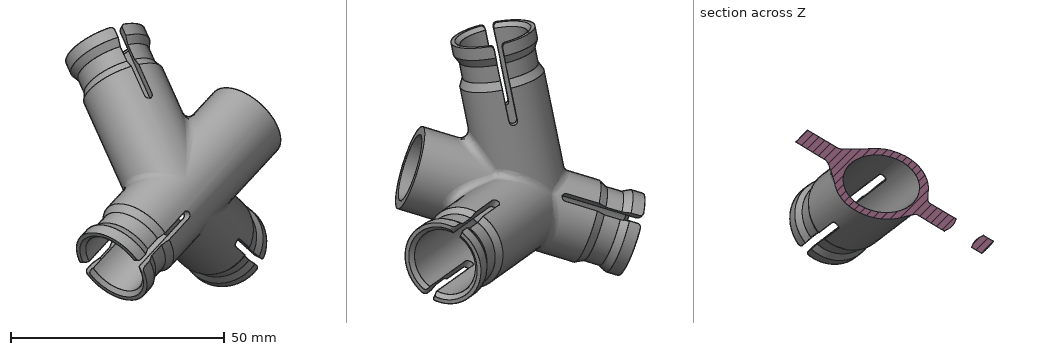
import cadquery as cq
import math

OUTER_RADIUS = 10.1
BORE_RADIUS = 8.1

FRONT_LENGTH = 25.73
BACK_LENGTH = 29.27
BRANCH_LENGTH = 42.13

GROOVE_DEPTH = 1.0
LIP_LENGTH = 3.0
GROOVE_TAPER = 2.0
GROOVE_FLAT = 4.0

MOUTH_BEVEL = 1.0

SLOT_WIDTH = 2.0
SLOT_LENGTH = 20.0
SLOT_MOUTH_RADIUS = 1.0

JUNCTION_FILLET = 1.9

BRANCH_ANGLE = math.radians(60)
ARM_RISE = math.radians(19.57)

ORIGIN = cq.Vector(0, 0, 0)
MAIN_AXIS = cq.Vector(0, 1, 0)
FRONT_AXIS = cq.Vector(0, -1, 0)
LEG_RADIAL = cq.Vector(0, 0, -1)
ARM_RADIAL = cq.Vector(-math.cos(ARM_RISE), 0, math.sin(ARM_RISE))


def branch_axis(radial):
    """Direction of a branch that leaves the main axis on the side of `radial`."""
    return MAIN_AXIS * math.cos(BRANCH_ANGLE) + radial * math.sin(BRANCH_ANGLE)


def spigot_plane(axis, slot_direction):
    """Plane at the axis crossing, with its normal along the spigot and its x through the slot."""
    return cq.Plane(origin=ORIGIN, xDir=slot_direction, normal=axis)


def tube(plane, length, radius):
    """Solid cylinder that starts on the plane and follows its normal."""
    return cq.Workplane(plane).circle(radius).extrude(length)


def snap_groove(plane, length):
    """Ring with tapered flanks to be cut from the outside of a spigot."""
    outer_start = length - LIP_LENGTH
    flat_start = outer_start - GROOVE_TAPER
    flat_end = flat_start - GROOVE_FLAT
    outer_end = flat_end - GROOVE_TAPER
    floor_radius = OUTER_RADIUS - GROOVE_DEPTH
    clear_radius = OUTER_RADIUS + GROOVE_DEPTH
    section = [
        (OUTER_RADIUS, outer_start),
        (floor_radius, flat_start),
        (floor_radius, flat_end),
        (OUTER_RADIUS, outer_end),
        (clear_radius, outer_end),
        (clear_radius, outer_start),
    ]
    side = cq.Plane(origin=ORIGIN, xDir=plane.xDir, normal=plane.xDir.cross(plane.zDir))
    return cq.Workplane(side).polyline(section).close().revolve(360, (0, 0), (0, 1))


def mouth_bevel(plane, length):
    """Cone that opens the bore at the end face."""
    start = plane.zDir * (length - MOUTH_BEVEL)
    return cq.Workplane(
        cq.Solid.makeCone(BORE_RADIUS, BORE_RADIUS + MOUTH_BEVEL, MOUTH_BEVEL, start, plane.zDir)
    )


def flex_slot(plane, length):
    """Slot across the spigot with a round inner end and rounded mouth corners."""
    half = SLOT_WIDTH / 2
    flare = half + SLOT_MOUTH_RADIUS
    mouth_start = length - SLOT_MOUTH_RADIUS
    arc_offset = SLOT_MOUTH_RADIUS * (1 - math.sqrt(0.5))
    inner_center = length - SLOT_LENGTH + half
    side = cq.Plane(origin=ORIGIN, xDir=plane.xDir.cross(plane.zDir), normal=plane.xDir * -1)
    return (
        cq.Workplane(side)
        .moveTo(-half, inner_center)
        .threePointArc((0, inner_center - half), (half, inner_center))
        .lineTo(half, mouth_start)
        .threePointArc((half + arc_offset, length - arc_offset), (flare, length))
        .lineTo(-flare, length)
        .threePointArc((-half - arc_offset, length - arc_offset), (-half, mouth_start))
        .close()
        .extrude(2 * OUTER_RADIUS, both=True)
    )


leg_axis = branch_axis(LEG_RADIAL)
arm_axis = branch_axis(ARM_RADIAL)

front_spigot = (spigot_plane(FRONT_AXIS, LEG_RADIAL + ARM_RADIAL), FRONT_LENGTH)
leg_spigot = (spigot_plane(leg_axis, MAIN_AXIS.cross(leg_axis)), BRANCH_LENGTH)
arm_spigot = (spigot_plane(arm_axis, MAIN_AXIS.cross(arm_axis)), BRANCH_LENGTH)
branches = [leg_spigot, arm_spigot]

main_plane = cq.Plane(origin=MAIN_AXIS * -FRONT_LENGTH, xDir=cq.Vector(1, 0, 0), normal=MAIN_AXIS)
main_length = FRONT_LENGTH + BACK_LENGTH

body = tube(main_plane, main_length, OUTER_RADIUS)
for plane, length in branches:
    body = body.union(tube(plane, length, OUTER_RADIUS))

body = body.edges("%ELLIPSE").fillet(JUNCTION_FILLET)

body = body.cut(tube(main_plane, main_length, BORE_RADIUS))
for plane, length in branches:
    body = body.cut(tube(plane, length, BORE_RADIUS))

for plane, length in [front_spigot, *branches]:
    body = body.cut(snap_groove(plane, length))
    body = body.cut(mouth_bevel(plane, length))
    body = body.cut(flex_slot(plane, length))

result = body.solids()